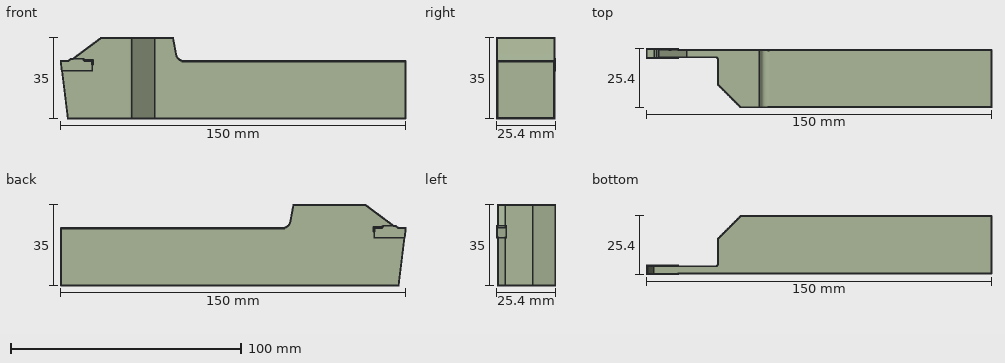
import cadquery as cq
import math

length = 150.0
shank_height = 25.0
shank_width = 25.0
head_height = 35.0
edge_chamfer = 0.25

blade_thickness = 3.2
blade_front = shank_width - blade_thickness
shoulder_x = 31.0
shoulder_chamfer = 9.9
blade_root_radius = 1.0
clearance_angle = 7.0
ramp_top_x = 17.55
ramp_angle = 36.7
head_back_x = 48.9
head_back_angle = 10.5
head_back_radius = 3.4
top_chamfer_start = 52.8

insert_width = 4.0
insert_length = 13.7
insert_bottom = 20.8
insert_overhang = (insert_width - blade_thickness) / 2
land_length = 3.3
crown_height = 0.9
crown_start = 4.5
crown_end = 9.8
crown_tail_end = 10.5
crown_top = shank_height + crown_height

seat_gap = 0.4
seat_gap_depth = 1.5

blade_setback = 0.1
clearance_slope = math.tan(math.radians(clearance_angle))
toe_x = shank_height * clearance_slope + blade_setback
insert_toe_x = (shank_height - insert_bottom) * clearance_slope
shank_start = head_back_x + (head_height - shank_height) * math.tan(math.radians(head_back_angle))


def extrude_side_profile(points, y_start, y_end):
    """Extrude an (X, Z) outline between two Y positions."""
    return (
        cq.Workplane("XZ", origin=(0, y_end, 0))
        .polyline(points)
        .close()
        .extrude(y_end - y_start)
    )


def make_side_body():
    """Full-width side outline of the holder with the fillet behind the head."""
    ramp_slope = math.tan(math.radians(ramp_angle))
    ramp_foot_x = ramp_top_x - (head_height - shank_height) / ramp_slope
    outline = [
        (toe_x, 0),
        (length, 0),
        (length, shank_height),
        (shank_start, shank_height),
        (head_back_x, head_height),
        (ramp_top_x, head_height),
        (ramp_foot_x, shank_height),
        (blade_setback, shank_height),
    ]
    body = extrude_side_profile(outline, 0, shank_width)
    inner_corner = cq.selectors.NearestToPointSelector((shank_start, shank_width / 2, shank_height))
    return body.edges(inner_corner).fillet(head_back_radius)


def make_plan_body():
    """Plan outline: thin blade, filleted root and chamfered shoulder."""
    plan = (
        cq.Workplane("XY")
        .moveTo(0, shank_width)
        .lineTo(0, blade_front)
        .lineTo(shoulder_x - blade_root_radius, blade_front)
        .radiusArc((shoulder_x, blade_front - blade_root_radius), blade_root_radius)
        .lineTo(shoulder_x, shoulder_chamfer)
        .lineTo(shoulder_x + shoulder_chamfer, 0)
        .lineTo(length, 0)
        .lineTo(length, shank_width)
        .close()
    )
    return plan.extrude(head_height)


def make_insert():
    """Parting insert with a flat cutting land and a raised crown."""
    profile = [
        (0, shank_height),
        (land_length, shank_height),
        (crown_start, crown_top),
        (crown_end, crown_top),
        (crown_tail_end, shank_height),
        (insert_length, shank_height),
        (insert_length, insert_bottom),
        (insert_toe_x, insert_bottom),
    ]
    return extrude_side_profile(profile, blade_front - insert_overhang, shank_width + insert_overhang)


def make_seat():
    """Pocket for the insert, with a gap above and behind its tail."""
    gap_top = shank_height + seat_gap
    gap_back = insert_length + seat_gap
    gap_bottom = shank_height - seat_gap_depth
    profile = [
        (0, insert_bottom),
        (insert_length, insert_bottom),
        (insert_length, gap_bottom),
        (gap_back, gap_bottom),
        (gap_back, gap_top),
        (crown_tail_end, gap_top),
        (crown_end, crown_top),
        (0, crown_top),
    ]
    return extrude_side_profile(profile, 0, shank_width)


def make_top_edge_cutters():
    """Wedges that chamfer the two long top edges, running out in the fillet behind the head."""
    wedges = []
    for edge_y, inward in ((0, 1), (shank_width, -1)):
        wedge = (
            cq.Workplane("YZ", origin=(top_chamfer_start, edge_y, shank_height))
            .polyline([(0, -edge_chamfer), (0, edge_chamfer), (inward * 2 * edge_chamfer, edge_chamfer)])
            .close()
            .extrude(length - top_chamfer_start)
        )
        wedges.append(wedge)
    return wedges


holder = make_side_body().intersect(make_plan_body()).cut(make_seat())
holder = holder.faces(">X").edges().chamfer(edge_chamfer)
for cutter in make_top_edge_cutters():
    holder = holder.cut(cutter)
insert = make_insert()

result = cq.Compound.makeCompound([holder.val(), insert.val()])